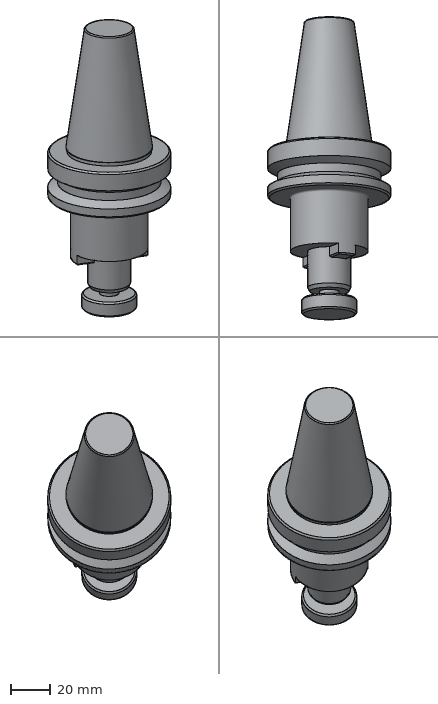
import cadquery as cq

total_height = 153.4
taper_length = 65.3
neck_height = 2.0
flange_height = 25.0
body_length = 28.0
spigot_bottom_z = 12.0
head_height = 8.1

gauge_z = total_height - taper_length
flange_top_z = gauge_z - neck_height
flange_bottom_z = flange_top_z - flange_height
body_bottom_z = flange_bottom_z - body_length

taper_ratio = 7 / 24
gauge_radius = 22.2
taper_end_radius = gauge_radius - taper_length * taper_ratio / 2
neck_radius = 21.8
flange_radius = 63.0 / 2
body_radius = 20.0
spigot_radius = 11.0
shank_radius = 5.0
head_radius = 14.1

groove_distance_from_top = 9.8
groove_floor_radius = 26.5
groove_floor_width = 4.5
groove_side_height = 2.8
groove_top_z = flange_top_z - groove_distance_from_top
groove_bottom_z = groove_top_z - groove_floor_width - 2 * groove_side_height

key_width = 10.0
key_height = 5.5

taper_end_chamfer = 0.6
edge_chamfer = 0.9
key_chamfer = 0.8
body_fillet = 0.9
spigot_chamfer_width = 1.0
spigot_chamfer_height = 2.0


def revolve_profile(points):
    """Turn a closed (radius, height) outline about the Z axis."""
    return cq.Workplane("XZ").polyline(points).close().revolve(360, (0, 0, 0), (0, 1, 0))


def cylinder(radius, bottom_z, top_z):
    return cq.Workplane("XY").workplane(offset=bottom_z).circle(radius).extrude(top_z - bottom_z)


def make_taper():
    taper = revolve_profile([
        (0, gauge_z),
        (gauge_radius, gauge_z),
        (taper_end_radius, total_height),
        (0, total_height),
    ])
    return taper.faces(">Z").chamfer(taper_end_chamfer)


def make_flange():
    blank = cylinder(flange_radius, flange_bottom_z, flange_top_z)
    blank = blank.faces("<Z or >Z").edges().chamfer(edge_chamfer)
    groove = revolve_profile([
        (flange_radius, groove_top_z),
        (groove_floor_radius, groove_top_z - groove_side_height),
        (groove_floor_radius, groove_bottom_z + groove_side_height),
        (flange_radius, groove_bottom_z),
    ])
    return blank.cut(groove)


def make_body():
    """Cylindrical body with a concave fillet where it meets the flange."""
    fillet_start_z = flange_bottom_z - body_fillet
    outline = (
        cq.Workplane("XZ")
        .moveTo(0, body_bottom_z)
        .lineTo(body_radius, body_bottom_z)
        .lineTo(body_radius, fillet_start_z)
        .radiusArc((body_radius + body_fillet, flange_bottom_z), body_fillet)
        .lineTo(0, flange_bottom_z)
        .close()
    )
    return outline.revolve(360, (0, 0, 0), (0, 1, 0))


def make_keys():
    """Two opposed keys, cut from a chamfered disc; the spigot fills the space between them."""
    key_bottom_z = body_bottom_z - key_height
    disc = cylinder(body_radius, key_bottom_z, body_bottom_z).faces("<Z").chamfer(key_chamfer)
    bar = (
        cq.Workplane("XY")
        .workplane(offset=key_bottom_z)
        .rect(key_width, 2 * body_radius)
        .extrude(key_height)
        .faces("<Z")
        .edges("|Y")
        .chamfer(key_chamfer)
    )
    return disc.intersect(bar)


def make_spigot():
    spigot = cylinder(spigot_radius, spigot_bottom_z, body_bottom_z)
    lead_in = revolve_profile([
        (spigot_radius, spigot_bottom_z),
        (spigot_radius, spigot_bottom_z + spigot_chamfer_height),
        (spigot_radius - spigot_chamfer_width, spigot_bottom_z),
    ])
    return spigot.cut(lead_in)


def make_screw():
    head = cylinder(head_radius, 0, head_height).faces("<Z or >Z").edges().chamfer(edge_chamfer)
    shank = cylinder(shank_radius, head_height, spigot_bottom_z)
    return head.union(shank)


neck = cylinder(neck_radius, flange_top_z, gauge_z)

result = make_taper()
for section in (neck, make_flange(), make_body(), make_keys(), make_spigot(), make_screw()):
    result = result.union(section)